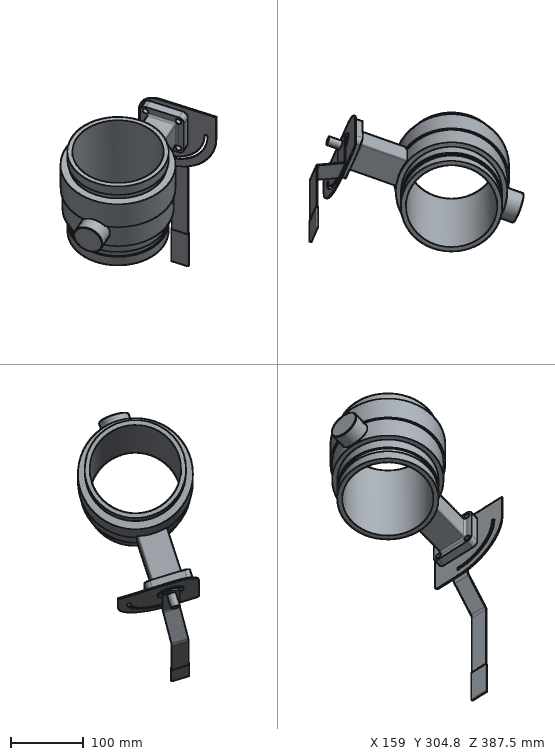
import cadquery as cq
import math


BORE_DIAMETER = 126.0
NECK_DIAMETER = 140.0
GROOVE_DIAMETER = 135.5
UPPER_BODY_DIAMETER = 159.0
LOWER_BODY_DIAMETER = 153.8
BODY_TOP = 82.5
UPPER_GROOVE_TOP = 66.5
UPPER_BODY_TOP = 57.7
LOWER_BODY_TOP = 14.5
LOWER_BODY_BOTTOM = -24.0
LOWER_GROOVE_TOP = -42.0
LOWER_GROOVE_BOTTOM = -51.0
BODY_BOTTOM = -67.5

PLUG_DIAMETER = 43.5
PLUG_END = -98.8
PLUG_CHAMFER = 0.8

MOUNT_WIDTH = 42.5
MOUNT_HEIGHT = 41.0
MOUNT_CORNER_RADIUS = 1.0
MOUNT_ROOT_RADIUS = 3.0
FLANGE_SIZE = 66.2
FLANGE_CORNER_RADIUS = 8.0
FLANGE_FRONT = 145.0
FLANGE_BACK = 158.0
BOLT_HOLE_DIAMETER = 8.5
BOLT_OFFSET = FLANGE_SIZE / 2 - FLANGE_CORNER_RADIUS

PLATE_THICKNESS = 2.0
PLATE_BACK = FLANGE_BACK + PLATE_THICKNESS
PLATE_REACH = 41.5
PLATE_RADIUS = 76.0
PLATE_TOP_CORNER_RADIUS = 31.5
PLATE_BOTTOM_CORNER_RADIUS = 6.2
SLOT_RADIUS = 60.5
SLOT_WIDTH = 4.5

STEM_DIAMETER = 12.8
STEM_END = 183.5
WASHER_DIAMETER = 38.0
WASHER_THICKNESS = 1.5

STRAP_WIDTH = 24.5
STRAP_THICKNESS = 2.7
STRAP_FRONT = PLATE_BACK + WASHER_THICKNESS
STRAP_BACK = STRAP_FRONT + STRAP_THICKNESS
STRAP_TIP = 20.5
STRAP_SHOULDER_RADIUS = 6.5
BEND_RADIUS = 6.2
UPPER_BEND = -75.0
LOWER_BEND = -113.5
GRIP_WIDTH = 26.5
GRIP_THICKNESS = 3.5
GRIP_TOP = -243.5
GRIP_BOTTOM = -305.0
GRIP_BACK = 206.0
GRIP_EDGE_RADIUS = 0.8


def plane_at(y):
    """XZ plane at the given Y; positive extrusion runs towards -Y."""
    return cq.Workplane("XZ", origin=(0, y, 0))


def quarter_arc_middle(radius):
    """Middle of the lower right quarter arc about the stem."""
    return (radius * math.sqrt(0.5), -radius * math.sqrt(0.5))


def make_body():
    """Turned outside of the pipe body with its two coupling grooves."""
    sections = [
        (NECK_DIAMETER, BODY_BOTTOM, LOWER_GROOVE_BOTTOM),
        (GROOVE_DIAMETER, LOWER_GROOVE_BOTTOM, LOWER_GROOVE_TOP),
        (NECK_DIAMETER, LOWER_GROOVE_TOP, LOWER_BODY_BOTTOM),
        (LOWER_BODY_DIAMETER, LOWER_BODY_BOTTOM, LOWER_BODY_TOP),
        (UPPER_BODY_DIAMETER, LOWER_BODY_TOP, UPPER_BODY_TOP),
        (GROOVE_DIAMETER, UPPER_BODY_TOP, UPPER_GROOVE_TOP),
        (NECK_DIAMETER, UPPER_GROOVE_TOP, BODY_TOP),
    ]
    body = cq.Workplane("XY")
    for diameter, bottom, top in sections:
        section = cq.Workplane("XY", origin=(0, 0, bottom)).circle(diameter / 2).extrude(top - bottom)
        body = body.union(section)
    return body


def make_plug():
    plug = plane_at(0).circle(PLUG_DIAMETER / 2).extrude(-PLUG_END)
    return plug.faces("<Y").chamfer(PLUG_CHAMFER)


def make_mount():
    """Neck joined to the square flange by a root fillet, with four bolt holes."""
    flange = plane_at(FLANGE_BACK).rect(FLANGE_SIZE, FLANGE_SIZE).extrude(FLANGE_BACK - FLANGE_FRONT)
    flange = flange.edges("|Y").fillet(FLANGE_CORNER_RADIUS)
    neck = plane_at(FLANGE_FRONT).rect(MOUNT_WIDTH, MOUNT_HEIGHT).extrude(FLANGE_FRONT)
    neck = neck.edges("|Y").fillet(MOUNT_CORNER_RADIUS)
    root_edges = cq.selectors.BoxSelector(
        (-BOLT_OFFSET, FLANGE_FRONT - MOUNT_ROOT_RADIUS, -BOLT_OFFSET),
        (BOLT_OFFSET, FLANGE_FRONT + MOUNT_ROOT_RADIUS, BOLT_OFFSET),
    )
    mount = flange.union(neck).edges(root_edges).fillet(MOUNT_ROOT_RADIUS)
    bolt_holes = (
        plane_at(FLANGE_BACK)
        .rect(2 * BOLT_OFFSET, 2 * BOLT_OFFSET, forConstruction=True)
        .vertices()
        .circle(BOLT_HOLE_DIAMETER / 2)
        .extrude(FLANGE_BACK - FLANGE_FRONT + MOUNT_ROOT_RADIUS)
    )
    return mount.cut(bolt_holes)


def make_plate():
    """Index plate: a quarter disc about the stem, extended up and towards -X, with an arc slot."""
    plate = (
        plane_at(PLATE_BACK)
        .moveTo(PLATE_RADIUS, PLATE_REACH)
        .lineTo(-PLATE_REACH, PLATE_REACH)
        .lineTo(-PLATE_REACH, -PLATE_RADIUS)
        .lineTo(0, -PLATE_RADIUS)
        .threePointArc(quarter_arc_middle(PLATE_RADIUS), (PLATE_RADIUS, 0))
        .close()
        .extrude(PLATE_THICKNESS)
    )
    plate = plate.edges("|Y and <X and >Z").fillet(PLATE_TOP_CORNER_RADIUS)
    plate = plate.edges("|Y and <X and <Z").fillet(PLATE_BOTTOM_CORNER_RADIUS)

    outer = SLOT_RADIUS + SLOT_WIDTH / 2
    inner = SLOT_RADIUS - SLOT_WIDTH / 2
    slot = (
        plane_at(PLATE_BACK)
        .moveTo(outer, 0)
        .threePointArc((SLOT_RADIUS, SLOT_WIDTH / 2), (inner, 0))
        .threePointArc(quarter_arc_middle(inner), (0, -inner))
        .threePointArc((-SLOT_WIDTH / 2, -SLOT_RADIUS), (0, -outer))
        .threePointArc(quarter_arc_middle(outer), (outer, 0))
        .close()
        .extrude(PLATE_THICKNESS)
    )
    return plate.cut(slot)


def make_stem():
    stem = plane_at(STEM_END).circle(STEM_DIAMETER / 2).extrude(STEM_END - FLANGE_BACK)
    washer = plane_at(STRAP_FRONT).circle(WASHER_DIAMETER / 2).extrude(WASHER_THICKNESS)
    return stem.union(washer)


def make_lever():
    """Bent strap with a pointed upper end, and the grip around its lower end."""
    grip_middle = GRIP_BACK - GRIP_THICKNESS / 2
    low_back = grip_middle + STRAP_THICKNESS / 2
    low_front = low_back - STRAP_THICKNESS
    bend_angle = math.atan2(low_back - STRAP_BACK, UPPER_BEND - LOWER_BEND)
    mitre = STRAP_THICKNESS * math.tan(bend_angle / 2)
    profile = [
        (STRAP_FRONT, STRAP_TIP),
        (STRAP_FRONT, UPPER_BEND - mitre),
        (low_front, LOWER_BEND - mitre),
        (low_front, GRIP_BOTTOM + GRIP_EDGE_RADIUS),
        (low_back, GRIP_BOTTOM + GRIP_EDGE_RADIUS),
        (low_back, LOWER_BEND),
        (STRAP_BACK, UPPER_BEND),
        (STRAP_BACK, STRAP_TIP),
    ]
    strap = cq.Workplane("YZ").polyline(profile).close().extrude(STRAP_WIDTH / 2, both=True)
    outer_radius = BEND_RADIUS + STRAP_THICKNESS
    bends = [
        (STRAP_FRONT, UPPER_BEND - mitre, outer_radius),
        (STRAP_BACK, UPPER_BEND, BEND_RADIUS),
        (low_front, LOWER_BEND - mitre, BEND_RADIUS),
        (low_back, LOWER_BEND, outer_radius),
    ]
    for y, z, radius in bends:
        strap = strap.edges(cq.selectors.NearestToPointSelector((0, y, z))).fillet(radius)

    half_width = STRAP_WIDTH / 2
    shoulder = STRAP_TIP - half_width
    outline = (
        plane_at(GRIP_BACK)
        .moveTo(half_width, GRIP_BOTTOM)
        .lineTo(half_width, shoulder)
        .lineTo(0, STRAP_TIP)
        .lineTo(-half_width, shoulder)
        .lineTo(-half_width, GRIP_BOTTOM)
        .close()
        .extrude(GRIP_BACK - STRAP_FRONT)
    )
    for x in (-half_width, half_width):
        corner = cq.selectors.NearestToPointSelector((x, (GRIP_BACK + STRAP_FRONT) / 2, shoulder))
        outline = outline.edges(corner).fillet(STRAP_SHOULDER_RADIUS)

    grip = cq.Workplane("XY").box(GRIP_WIDTH, GRIP_THICKNESS, GRIP_TOP - GRIP_BOTTOM)
    grip = grip.edges("|Z or <Z").fillet(GRIP_EDGE_RADIUS)
    grip = grip.translate((0, grip_middle, (GRIP_TOP + GRIP_BOTTOM) / 2))
    return strap.intersect(outline).union(grip)


bore = cq.Workplane("XY", origin=(0, 0, BODY_BOTTOM)).circle(BORE_DIAMETER / 2).extrude(BODY_TOP - BODY_BOTTOM)
valve = make_body().union(make_plug()).union(make_mount()).cut(bore)
result = valve.union(make_plate()).union(make_stem()).union(make_lever())